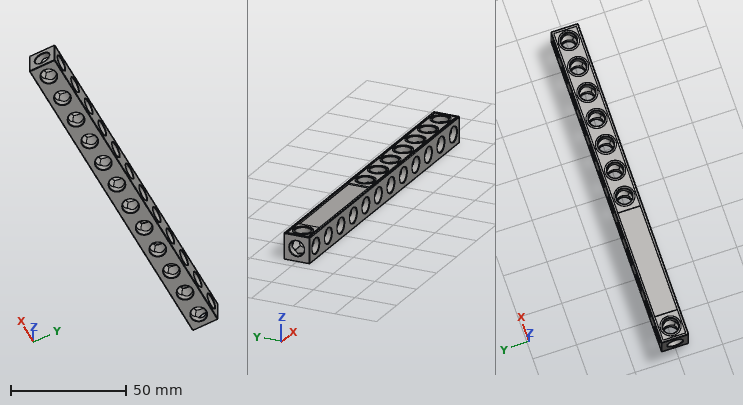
import cadquery as cq
length = 150.0
cell_count = 12
cell = length / cell_count
half_cell = cell / 2
edge_chamfer = 0.3

hole_diameter = 7.0
hole_radius = hole_diameter / 2
hole_chamfer = 0.3

rim_width = 1.1
relief_depth = 0.22
collar_diameter = 9.2

panel_first_cell = 1
panel_cell_count = 4
panel_depth = 0.82
panel_thickness = 1.5
panel_end_cell = panel_first_cell + panel_cell_count
panel_start = panel_first_cell * cell - length / 2
panel_end = panel_end_cell * cell - length / 2

cell_centres = [(i + 0.5) * cell - length / 2 for i in range(cell_count)]
closed_centres = cell_centres[panel_first_cell:panel_end_cell]
open_centres = cell_centres[:panel_first_cell] + cell_centres[panel_end_cell:]


def top_pocket(x_start, x_end, depth):
    """Rectangular cutter sunk into the top face, inside the rim."""
    return (
        cq.Workplane("XY", origin=((x_start + x_end) / 2, 0, half_cell - depth))
        .rect(x_end - x_start, cell - 2 * rim_width)
        .extrude(depth)
    )


def through_hole(span):
    """Cutter along Z, centred on the origin, chamfered at both mouths."""
    end = span / 2
    shoulder = end - hole_chamfer
    mouth_radius = hole_radius + hole_chamfer
    profile = [
        (0, -end),
        (mouth_radius, -end),
        (hole_radius, -shoulder),
        (hole_radius, shoulder),
        (mouth_radius, end),
        (0, end),
    ]
    return cq.Workplane("XZ").polyline(profile).close().revolve(360, (0, 0), (0, 1))


def closed_hole():
    """Vertical cutter with a chamfered mouth at the bottom, stopping below the panel."""
    ceiling = half_cell - panel_depth - panel_thickness
    lower_part = (
        cq.Workplane("XY", origin=(0, 0, -half_cell))
        .rect(cell, cell)
        .extrude(half_cell + ceiling)
    )
    return through_hole(cell).intersect(lower_part)


def top_relief():
    """Cutter for the shallow relief on both sides of the panel, leaving the collars."""
    left_field = top_pocket(-length / 2 + rim_width, panel_start, relief_depth)
    right_field = top_pocket(panel_end, length / 2 - rim_width, relief_depth)
    collars = (
        cq.Workplane("XY", origin=(0, 0, half_cell - relief_depth))
        .pushPoints([(x, 0) for x in open_centres])
        .circle(collar_diameter / 2)
        .extrude(relief_depth)
    )
    return left_field.union(right_field).cut(collars)


beam = cq.Workplane("XY").box(length, cell, cell).edges().chamfer(edge_chamfer)

beam = beam.cut(top_relief())
beam = beam.cut(top_pocket(panel_start, panel_end, panel_depth))

side_hole = through_hole(cell).rotate((0, 0, 0), (1, 0, 0), 90)
for x in cell_centres:
    beam = beam.cut(side_hole.translate((x, 0, 0)))

for x in open_centres:
    beam = beam.cut(through_hole(cell).translate((x, 0, 0)))
for x in closed_centres:
    beam = beam.cut(closed_hole().translate((x, 0, 0)))

beam = beam.cut(through_hole(length).rotate((0, 0, 0), (0, 1, 0), 90))

result = beam